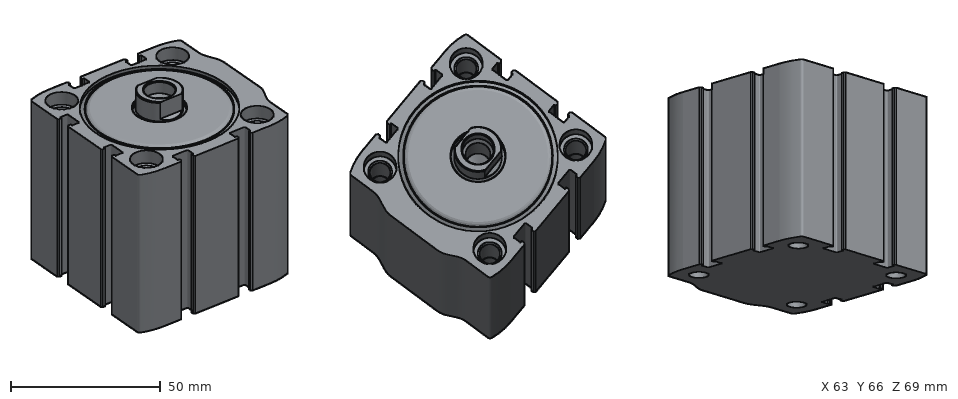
import cadquery as cq
import math

body_height = 61.95
profile_side = 63.0
profile_depth = 66.0
half_side = profile_side / 2
ridge_top = profile_depth - half_side
ridge_half_width = 9.7
ridge_foot = 19.9
ridge_slope = math.radians(25)
flank_start = 22.55
flank_radius = 23.1
corner_fillet = 1.05

slot_offset = 12.0
slot_neck_width = 5.0
slot_wide_width = 6.5
slot_lip = 1.5
slot_depth = 4.55
slot_rounding = 0.35
slot_mouth_chamfer = 0.5

hole_offset = 23.25
counterbore_diameter = 11.0
counterbore_depth = 5.0
thread_mouth_diameter = 8.0
thread_diameter = 6.8
thread_depth = 13.8
through_diameter = 6.6

groove_outer_diameter = 53.3
groove_depth = 1.3
groove_ledge_diameter = 50.0
groove_ledge_depth = 0.35
groove_pit_diameter = 49.4
groove_pit_depth = 0.7
groove_rim_diameter = 47.95
groove_rim_depth = 0.2
groove_inner_diameter = 46.65

rod_top = 69.0
rod_diameter = 18.1
bore_chamfer = 0.2
rod_depth = 34.5
tip_diameter = 16.0
tip_chamfer = 0.35
shoulder_depth = 0.4
flat_width = 13.0
flat_end = 0.5
flat_ledge_slope = math.radians(30)
socket_mouth_diameter = 11.2
socket_relief_diameter = 10.5
socket_relief_depth = 4.7
socket_diameter = 8.35
socket_depth = 16.55
drill_half_angle = math.radians(59)


def revolve_profile(points):
    """Solid of revolution about Z from (radius, z) points."""
    return cq.Workplane("XZ").polyline(points).close().revolve(360, (0, 0, 0), (0, 1, 0))


def housing_block():
    flank_rise = half_side - flank_start
    flank_inset = flank_radius - math.sqrt(flank_radius**2 - flank_rise**2)
    half_angle = math.asin(flank_rise / flank_radius) / 2
    corner_x = half_side - flank_inset
    flank_mid_x = half_side - flank_radius * (1 - math.cos(half_angle))
    flank_mid_y = flank_start + flank_radius * math.sin(half_angle)

    run = ridge_foot - ridge_half_width
    rise = ridge_top - half_side
    sine, cosine = math.sin(ridge_slope), math.cos(ridge_slope)
    radius = (run * sine - rise * cosine) / (2 * (1 - cosine))
    arc_run, arc_drop = radius * sine, radius * (1 - cosine)
    mid_run = radius * math.sin(ridge_slope / 2)
    mid_drop = radius * (1 - math.cos(ridge_slope / 2))

    right_half = (
        cq.Workplane("XY")
        .moveTo(0, -half_side)
        .lineTo(corner_x, -half_side)
        .threePointArc((flank_mid_x, -flank_mid_y), (half_side, -flank_start))
        .lineTo(half_side, flank_start)
        .threePointArc((flank_mid_x, flank_mid_y), (corner_x, half_side))
        .lineTo(ridge_foot, half_side)
        .threePointArc(
            (ridge_foot - mid_run, half_side + mid_drop),
            (ridge_foot - arc_run, half_side + arc_drop),
        )
        .lineTo(ridge_half_width + arc_run, ridge_top - arc_drop)
        .threePointArc(
            (ridge_half_width + mid_run, ridge_top - mid_drop),
            (ridge_half_width, ridge_top),
        )
        .lineTo(0, ridge_top)
        .close()
        .extrude(body_height)
    )
    for corner_y in (-half_side, half_side):
        corner = cq.selectors.NearestToPointSelector((corner_x, corner_y, body_height / 2))
        right_half = right_half.edges("|Z").edges(corner).fillet(corner_fillet)
    return right_half.union(right_half.mirror("YZ"))


def slot_cutter(offset, angle):
    """T-slot in the -Y side, shifted along X, then turned about Z."""
    neck = (
        cq.Workplane("XY")
        .rect(slot_neck_width, 2 * slot_lip)
        .extrude(body_height)
        .translate((offset, -half_side, 0))
    )
    wide = (
        cq.Workplane("XY")
        .rect(slot_wide_width, slot_depth - slot_lip)
        .extrude(body_height)
        .edges("|Z and >Y")
        .fillet(slot_rounding)
        .translate((offset, -half_side + (slot_depth + slot_lip) / 2, 0))
    )
    half_neck = slot_neck_width / 2
    mouth = (
        cq.Workplane("XY")
        .polyline(
            [
                (offset - half_neck - slot_mouth_chamfer, -half_side),
                (offset + half_neck + slot_mouth_chamfer, -half_side),
                (offset + half_neck, -half_side + slot_mouth_chamfer),
                (offset - half_neck, -half_side + slot_mouth_chamfer),
            ]
        )
        .close()
        .extrude(body_height)
    )
    return neck.union(wide).union(mouth).rotate((0, 0, 0), (0, 0, 1), angle)


def mounting_hole_cutter():
    floor = body_height - counterbore_depth
    mouth_cone = (thread_mouth_diameter - thread_diameter) / 2
    thread_end = floor - thread_depth
    return revolve_profile(
        [
            (0, 0),
            (through_diameter / 2, 0),
            (through_diameter / 2, thread_end),
            (thread_diameter / 2, thread_end),
            (thread_diameter / 2, floor - mouth_cone),
            (thread_mouth_diameter / 2, floor),
            (counterbore_diameter / 2, floor),
            (counterbore_diameter / 2, body_height),
            (0, body_height),
        ]
    )


def ring_groove_cutter():
    return revolve_profile(
        [
            (groove_outer_diameter / 2, body_height),
            (groove_outer_diameter / 2, body_height - groove_depth),
            (groove_ledge_diameter / 2, body_height - groove_ledge_depth),
            (groove_ledge_diameter / 2, body_height - groove_pit_depth),
            (groove_pit_diameter / 2, body_height - groove_pit_depth),
            (groove_rim_diameter / 2, body_height - groove_rim_depth),
            (groove_inner_diameter / 2, body_height),
        ]
    )


def make_housing():
    housing = housing_block()
    for angle in (-90, 0, 90):
        for offset in (-slot_offset, slot_offset):
            housing = housing.cut(slot_cutter(offset, angle))
    hole = mounting_hole_cutter()
    for x in (-hole_offset, hole_offset):
        for y in (-hole_offset, hole_offset):
            housing = housing.cut(hole.translate((x, y, 0)))
    housing = housing.cut(ring_groove_cutter())
    rod_bore = (
        cq.Workplane("XY", origin=(0, 0, body_height))
        .circle(rod_diameter / 2)
        .extrude(-rod_depth)
    )
    bore_rim = revolve_profile(
        [
            (0, body_height),
            (rod_diameter / 2 + bore_chamfer, body_height),
            (0, body_height - bore_chamfer - rod_diameter / 2),
        ]
    )
    return housing.cut(rod_bore).cut(bore_rim)


def rod_blank():
    shoulder_top = body_height - shoulder_depth
    shoulder_drop = (rod_diameter - tip_diameter) / 2
    bottom = body_height - rod_depth
    return revolve_profile(
        [
            (0, bottom),
            (rod_diameter / 2, bottom),
            (rod_diameter / 2, shoulder_top - shoulder_drop),
            (tip_diameter / 2, shoulder_top),
            (tip_diameter / 2, rod_top - tip_chamfer),
            (tip_diameter / 2 - tip_chamfer, rod_top),
            (0, rod_top),
        ]
    )


def socket_cutter():
    mouth_cone = (socket_mouth_diameter - socket_relief_diameter) / 2
    relief_cone = (socket_relief_diameter - socket_diameter) / 2
    relief_end = rod_top - socket_relief_depth
    socket_end = rod_top - socket_depth
    drill_point = socket_diameter / 2 / math.tan(drill_half_angle)
    return revolve_profile(
        [
            (0, rod_top),
            (socket_mouth_diameter / 2, rod_top),
            (socket_relief_diameter / 2, rod_top - mouth_cone),
            (socket_relief_diameter / 2, relief_end),
            (socket_diameter / 2, relief_end - relief_cone),
            (socket_diameter / 2, socket_end),
            (0, socket_end - drill_point),
        ]
    )


def wrench_flat_cutter():
    """Material outside the +X flat; its lower end slopes down and outward."""
    inner = flat_width / 2
    reach = tip_diameter - inner
    end = body_height + flat_end
    return (
        cq.Workplane("XZ")
        .polyline(
            [
                (inner, rod_top),
                (inner, end),
                (inner + reach, end - reach * math.tan(flat_ledge_slope)),
                (inner + reach, rod_top),
            ]
        )
        .close()
        .extrude(tip_diameter / 2, both=True)
    )


def make_rod():
    flat = wrench_flat_cutter()
    return rod_blank().cut(flat).cut(flat.mirror("YZ")).cut(socket_cutter())


housing = make_housing()
rod = make_rod()
result = cq.Compound.makeCompound([housing.val(), rod.val()])